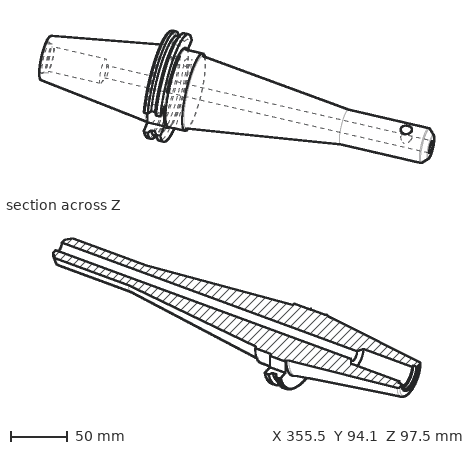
import cadquery as cq
import math

total_length = 355.5
flange_start = 105.0
flange_end = 120.5
collar_end = 137.0
shank_start = 276.0

taper_length = 102.8
taper_large_diameter = 70.0
flare_diameter = 72.0
taper_ratio = 7 / 24
small_end_diameter = taper_large_diameter - taper_ratio * taper_length
small_end_edge_radius = 1.8

flange_diameter = 97.5
flange_chamfer = 1.0
groove_center = 112.7
groove_depth = 3.5
groove_floor_width = 3.5
groove_flank_angle = 30.0

collar_diameter = 70.0
nose_diameter = 65.8
collar_root_radius = 1.0
shank_diameter = 31.5
shank_tip_diameter = 21.0
shank_edge_radius = 1.5
shank_chamfer = (shank_diameter - shank_tip_diameter) / 2

slot_width = 25.5
slot_floor_front = 35.2
slot_floor_back = 37.7

through_diameter = 11.0
thread_diameter = 22.0
thread_depth = 53.5
counterbore_diameter = 26.3
counterbore_depth = 4.3
mouth_diameter = 28.5
drill_tip_half_angle = 59.0
cross_hole_diameter = 10.0
cross_hole_x = 333.0

edge_tolerance = 0.18


def revolve_about_x(points):
    """Revolve a closed (x, radius) outline about the X axis."""
    outline = cq.Workplane("XY").polyline(points).close()
    return outline.revolve(360, (0, 0, 0), (1, 0, 0))


def fillet_circle(body, x, diameter, radius):
    """Round the circular edge of the given diameter at position x."""
    reach = diameter / 2 + edge_tolerance
    clear = diameter / 2 - edge_tolerance
    near = cq.selectors.BoxSelector(
        (x - edge_tolerance, -reach, -reach),
        (x + edge_tolerance, reach, reach),
        boundingbox=True,
    )
    edges = body.edges("%CIRCLE").edges(near)
    edges = edges.filter(lambda edge: edge.radius() > clear)
    return edges.fillet(radius)


def make_body():
    """Taper, grooved flange, collar, nose cone and shank in one revolved solid."""
    flange_radius = flange_diameter / 2
    floor_half = groove_floor_width / 2
    mouth_half = floor_half + groove_depth * math.tan(math.radians(groove_flank_angle))
    body = revolve_about_x([
        (0, 0),
        (0, small_end_diameter / 2),
        (taper_length, taper_large_diameter / 2),
        (flange_start, flare_diameter / 2),
        (flange_start, flange_radius - flange_chamfer),
        (flange_start + flange_chamfer, flange_radius),
        (groove_center - mouth_half, flange_radius),
        (groove_center - floor_half, flange_radius - groove_depth),
        (groove_center + floor_half, flange_radius - groove_depth),
        (groove_center + mouth_half, flange_radius),
        (flange_end, flange_radius),
        (flange_end, collar_diameter / 2),
        (collar_end, collar_diameter / 2),
        (collar_end, nose_diameter / 2),
        (shank_start, shank_diameter / 2),
        (total_length - shank_chamfer, shank_diameter / 2),
        (total_length, shank_tip_diameter / 2),
        (total_length, 0),
    ])
    rounded_edges = [
        (0, small_end_diameter, small_end_edge_radius),
        (flange_end, collar_diameter, collar_root_radius),
        (collar_end, nose_diameter, collar_root_radius),
        (total_length - shank_chamfer, shank_diameter, shank_edge_radius),
        (total_length, shank_tip_diameter, shank_edge_radius),
    ]
    for x, diameter, radius in rounded_edges:
        body = fillet_circle(body, x, diameter, radius)
    return body


def make_drive_slot(side, floor_distance):
    """Slot across the flange on the given Y side (+1 or -1)."""
    depth = flange_diameter / 2 - floor_distance
    center_x = (flange_start + flange_end) / 2
    center_y = side * (floor_distance + depth / 2)
    slot = cq.Workplane("XY").box(flange_end - flange_start, depth, slot_width)
    return slot.translate((center_x, center_y, 0))


def make_bore():
    """Mouth chamfer, counterbore, thread core, drill tip and through hole."""
    mouth_chamfer = (mouth_diameter - counterbore_diameter) / 2
    through_radius = through_diameter / 2
    thread_radius = thread_diameter / 2
    tip_length = (thread_radius - through_radius) / math.tan(math.radians(drill_tip_half_angle))
    return revolve_about_x([
        (0, 0),
        (0, mouth_diameter / 2),
        (mouth_chamfer, counterbore_diameter / 2),
        (counterbore_depth, counterbore_diameter / 2),
        (counterbore_depth, thread_radius),
        (thread_depth, thread_radius),
        (thread_depth + tip_length, through_radius),
        (total_length, through_radius),
        (total_length, 0),
    ])


def make_cross_hole():
    """Radial hole from the top of the shank into the bore."""
    hole = cq.Workplane("XY").center(cross_hole_x, 0).circle(cross_hole_diameter / 2)
    return hole.extrude(shank_diameter)


result = (
    make_body()
    .cut(make_drive_slot(-1, slot_floor_front))
    .cut(make_drive_slot(1, slot_floor_back))
    .cut(make_bore())
    .cut(make_cross_hole())
)